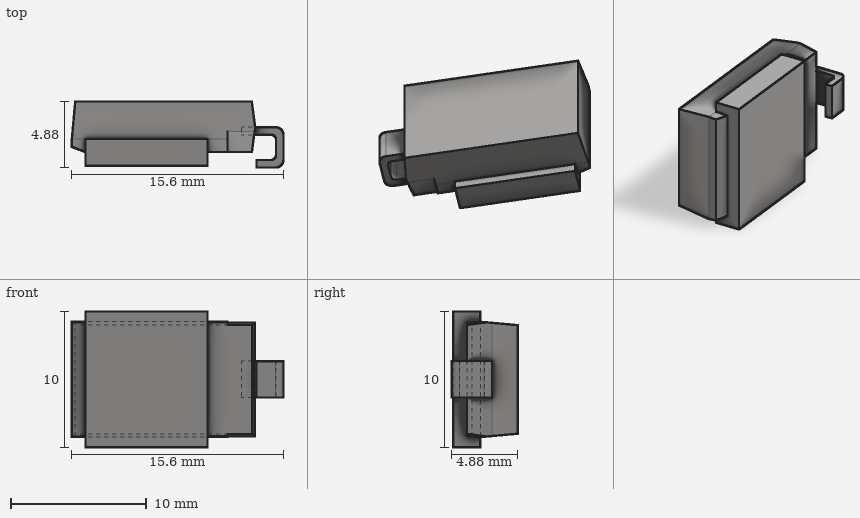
import cadquery as cq


plate_length = 9.0
plate_thickness = 2.0
plate_width = 10.0
plate_start = 1.0
plate_end = plate_start + plate_length

housing_length = 13.5
housing_width = 8.5
housing_front = 1.02
housing_back = 4.76
back_inset = 0.25
blunt_edge_y = 1.4
front_side_inset = 0.08
lead_end_inset = 0.24

relief_start = 11.47
relief_back = 2.54
relief_front_half_width = 4.0

lead_width = 2.68
lead_thickness = 0.57
lead_top = 2.86
lead_bottom = -0.12
lead_end = 15.59
foot_start = 13.58
lead_embedded = 1.0
lead_start = housing_length - lead_embedded
bend_outer_radius = 0.6
bend_inner_radius = 0.35


def box_between(x_range, y_range, width):
    """Block over the given X and Y ranges, centred on Z = 0."""
    length = x_range[1] - x_range[0]
    depth = y_range[1] - y_range[0]
    return (
        cq.Workplane("XY")
        .box(length, depth, width, centered=(False, False, True))
        .translate((x_range[0], y_range[0], 0))
    )


def make_plate():
    return box_between((plate_start, plate_end), (0, plate_thickness), plate_width)


def make_lead():
    """C-shaped strip: upper leg, upright and foot, with rounded bends."""
    strip = box_between((lead_start, lead_end), (lead_bottom, lead_top), lead_width)
    strip = strip.edges("|Z and >X").fillet(bend_outer_radius)

    inner_x = lead_end - lead_thickness
    inner_y = (lead_bottom + lead_thickness, lead_top - lead_thickness)
    opening = box_between((lead_start, inner_x), inner_y, lead_width)
    opening = opening.edges("|Z and >X").fillet(bend_inner_radius)

    foot_trim = box_between((lead_start, foot_start), (lead_bottom, inner_y[0]), lead_width)
    return strip.cut(opening).cut(foot_trim)


def make_housing_blank():
    """Lengthwise outline crossed with the tapered outline across the width."""
    lengthwise = (
        cq.Workplane("XY")
        .polyline([
            (back_inset, housing_back),
            (0, plate_thickness),
            (0, blunt_edge_y),
            (plate_start, housing_front),
            (housing_length - lead_end_inset, housing_front),
            (housing_length, lead_top),
            (housing_length - back_inset, housing_back),
        ])
        .close()
        .extrude(housing_width / 2, both=True)
    )
    half_width = housing_width / 2
    front_half_width = half_width - front_side_inset
    back_half_width = half_width - back_inset
    across = (
        cq.Workplane("YZ")
        .polyline([
            (housing_front, -front_half_width),
            (plate_thickness, -half_width),
            (housing_back, -back_half_width),
            (housing_back, back_half_width),
            (plate_thickness, half_width),
            (housing_front, front_half_width),
        ])
        .close()
        .extrude(housing_length)
    )
    return lengthwise.intersect(across)


def make_side_reliefs():
    """Wedges that narrow the front of the housing beside the lead."""
    wall_slope = back_inset / (housing_back - plate_thickness)
    wall_half_width = housing_width / 2 - wall_slope * (relief_back - plate_thickness)
    wedge = (
        cq.Workplane("YZ", origin=(relief_start, 0, 0))
        .polyline([
            (housing_front, relief_front_half_width),
            (relief_back, wall_half_width),
            (relief_back, housing_width / 2),
            (housing_front, housing_width / 2),
        ])
        .close()
        .extrude(housing_length - relief_start)
    )
    return wedge.add(wedge.mirror("XY")).combine()


def make_housing():
    return make_housing_blank().cut(make_side_reliefs()).cut(plate).cut(lead)


plate = make_plate()
lead = make_lead()
housing = make_housing()

result = cq.Compound.makeCompound([housing.val(), plate.val(), lead.val()])